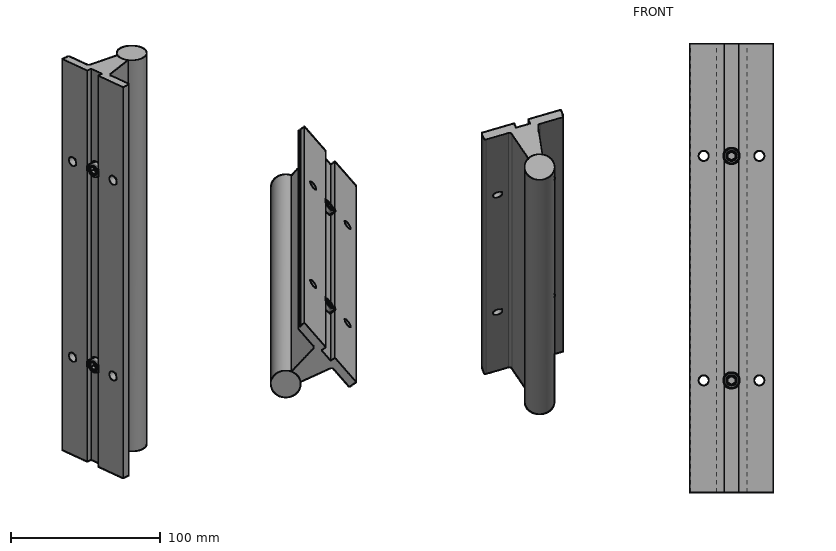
import cadquery as cq
import math

length = 300.0
rail_width = 56.0
overall_height = 48.0

shaft_diameter = 20.0
shaft_radius = shaft_diameter / 2
shaft_center_y = overall_height - shaft_radius

flange_thickness = 6.0
web_foot_width = 19.2
web_top_width = 10.0
web_top_y = shaft_center_y - math.sqrt(shaft_radius**2 - (web_top_width / 2) ** 2)
foot_fillet_radius = 1.8
tip_fillet_radius = 1.0

base_groove_width = 10.0
base_groove_depth = 3.5

side_groove_radius = 0.45
side_groove_y = 4.0

station_heights = (length / 4, 3 * length / 4)
mounting_hole_diameter = 6.5
mounting_hole_spacing = 37.2

head_diameter = 10.0
head_height = 6.0
head_end_y = 0.5
head_fillet_radius = 0.5
socket_corner_diameter = 5.7
socket_depth = 3.0
socket_rim_diameter = 7.0
socket_rim_depth = 0.3
counterbore_diameter = 11.0
counterbore_depth = head_end_y + head_height


def cylinder_along_y(diameter, x, z, start_y, depth):
    """Round cylinder that runs from start_y towards +Y."""
    return cq.Workplane("XZ", origin=(x, start_y, z)).circle(diameter / 2).extrude(-depth)


def edge_along_z(x, y):
    """Selector for the rail's long edge at (x, y)."""
    return cq.selectors.NearestToPointSelector((x, y, length / 2))


def make_shaft():
    return cq.Workplane("XY").center(0, shaft_center_y).circle(shaft_radius).extrude(length)


def make_rail_profile():
    """Flange and web, with a round seat for the shaft, run along the full length."""
    return (
        cq.Workplane("XY")
        .moveTo(-rail_width / 2, 0)
        .lineTo(rail_width / 2, 0)
        .lineTo(rail_width / 2, flange_thickness)
        .lineTo(web_foot_width / 2, flange_thickness)
        .lineTo(web_top_width / 2, web_top_y)
        .threePointArc((0, shaft_center_y - shaft_radius), (-web_top_width / 2, web_top_y))
        .lineTo(-web_foot_width / 2, flange_thickness)
        .lineTo(-rail_width / 2, flange_thickness)
        .close()
        .extrude(length)
    )


def make_rail():
    rail = make_rail_profile()

    for side in (-1, 1):
        foot_edge = edge_along_z(side * web_foot_width / 2, flange_thickness)
        rail = rail.edges(foot_edge).fillet(foot_fillet_radius)
        tip_edge = edge_along_z(side * rail_width / 2, flange_thickness)
        rail = rail.edges(tip_edge).fillet(tip_fillet_radius)

    base_groove = cq.Workplane("XY").rect(base_groove_width, 2 * base_groove_depth).extrude(length)
    side_groove = (
        cq.Workplane("XY")
        .center(-rail_width / 2, side_groove_y)
        .circle(side_groove_radius)
        .extrude(length)
    )
    rail = rail.cut(base_groove).cut(side_groove)

    for z in station_heights:
        rail = rail.cut(cylinder_along_y(counterbore_diameter, 0, z, 0, counterbore_depth))
        for side in (-1, 1):
            hole_x = side * mounting_hole_spacing / 2
            rail = rail.cut(cylinder_along_y(mounting_hole_diameter, hole_x, z, 0, flange_thickness))
    return rail


def make_screw(z):
    """Screw head with a rounded rim and a hexagon socket, two corners of it pointing along Z."""
    head = cylinder_along_y(head_diameter, 0, z, head_end_y, head_height)
    head = head.faces("<Y").edges().fillet(head_fillet_radius)
    socket_rim = cylinder_along_y(socket_rim_diameter, 0, z, head_end_y, socket_rim_depth)
    socket = (
        cq.Workplane("XZ", origin=(0, head_end_y, z))
        .transformed(rotate=(0, 0, 90))
        .polygon(6, socket_corner_diameter)
        .extrude(-socket_depth)
    )
    return head.cut(socket_rim).cut(socket)


shaft = make_shaft()
rail = make_rail()
screws = [make_screw(z) for z in station_heights]

result = cq.Compound.makeCompound([shaft.val(), rail.val(), *[screw.val() for screw in screws]])